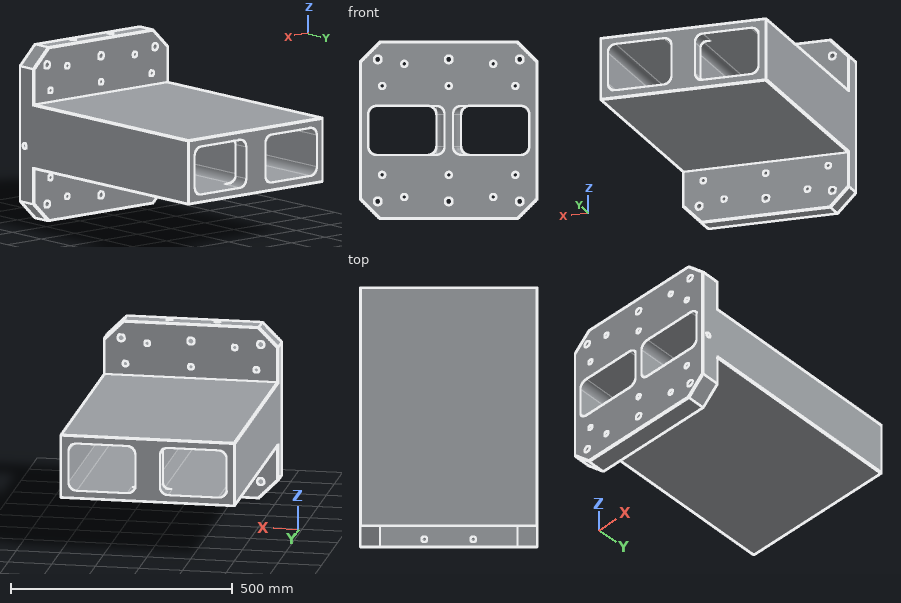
import cadquery as cq
import math

length = 586.5
width = 400.0
flange_thickness = 50.0
flange_corner = 44.5
body_height = 148.0
edge_chamfer = 2.0

side_wall = 19.0
septum_thickness = 19.0
channel_height = 110.0
corner_radius = 19.0
floor_radius = 19.0
end_wall = 37.5
channel_width = (width - septum_thickness) / 2 - side_wall
channel_centre = (septum_thickness + channel_width) / 2
floor_depth = length - end_wall

opening_step = floor_radius
opening_width = channel_width - opening_step

large_hole = 16.5
small_hole = 13.0
large_pitch = 160.0
small_outer_pitch = 150.0
small_inner_pitch = 100.0
large_places = [(0, large_pitch), (large_pitch, large_pitch)]
small_places = [
    (0, small_inner_pitch),
    (small_outer_pitch, small_inner_pitch),
    (small_inner_pitch, small_outer_pitch),
]

rim_hole = 13.0
rim_hole_y = 18.0
top_hole_x = 55.0
top_hole_depth = 50.0
drill_point_angle = 118
side_hole_z = -26.0


def block_along_y(x_size, z_size, start, end):
    """Block centred on the Y axis, running from y = start to y = end."""
    return cq.Workplane("XZ", origin=(0, start, 0)).rect(x_size, z_size).extrude(start - end)


def make_blank():
    """Flange with cut corners joined to the body, sharp edges broken."""
    flange = block_along_y(width, width, 0, flange_thickness)
    flange = flange.edges("|Y").chamfer(flange_corner)
    flange = flange.faces("<Y or >Y").edges().chamfer(edge_chamfer)
    body = block_along_y(width, body_height, edge_chamfer, length)
    body = body.edges("|Y").chamfer(edge_chamfer)
    body = body.faces(">Y").edges().chamfer(edge_chamfer)
    return flange.union(body)


def make_channel():
    """Space of the +X channel: a pocket with a filleted floor and an opening through its end wall."""
    pocket = block_along_y(channel_width, channel_height, 0, floor_depth)
    pocket = pocket.edges("|Y").fillet(corner_radius)
    pocket = pocket.faces(">Y").edges().fillet(floor_radius)
    opening = block_along_y(opening_width, channel_height, 0, length)
    opening = opening.edges("|Y").fillet(corner_radius)
    opening = opening.translate((opening_step / 2, 0, 0))
    return pocket.union(opening).translate((channel_centre, 0, 0))


def make_bolt_holes(places, diameter):
    """Through holes in the flange, mirrored into all four quadrants."""
    points = {(sx * x, sz * z) for x, z in places for sx in (-1, 1) for sz in (-1, 1)}
    return (
        cq.Workplane("XZ")
        .pushPoints(sorted(points))
        .circle(diameter / 2)
        .extrude(-flange_thickness)
    )


def make_top_hole(x):
    """Blind hole with a drill point, going down from the top of the flange."""
    radius = rim_hole / 2
    top = width / 2
    shoulder = top - top_hole_depth
    tip = shoulder - radius / math.tan(math.radians(drill_point_angle / 2))
    return (
        cq.Workplane("XZ", origin=(x, rim_hole_y, 0))
        .polyline([(0, top), (radius, top), (radius, shoulder), (0, tip)])
        .close()
        .revolve(360, (0, 0), (0, 1))
    )


def make_side_hole():
    """Hole from the +X side of the flange into the channel."""
    return (
        cq.Workplane("YZ", origin=(channel_centre, rim_hole_y, side_hole_z))
        .circle(rim_hole / 2)
        .extrude(width / 2 - channel_centre)
    )


channel = make_channel()
result = make_blank().cut(channel).cut(channel.mirror("YZ"))
result = result.cut(make_bolt_holes(large_places, large_hole))
result = result.cut(make_bolt_holes(small_places, small_hole))
for hole_x in (-top_hole_x, top_hole_x):
    result = result.cut(make_top_hole(hole_x))
result = result.cut(make_side_hole())